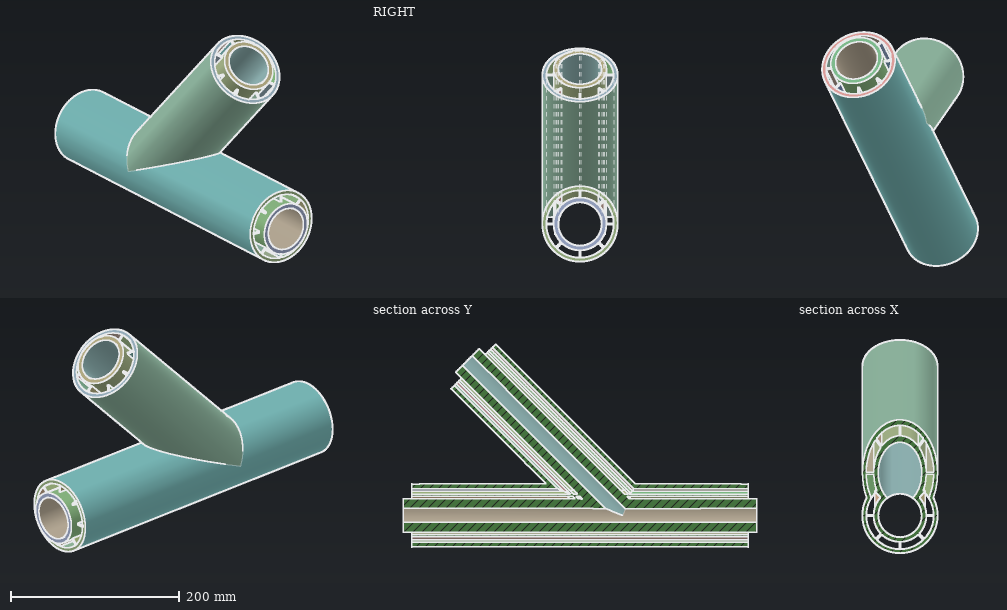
import cadquery as cq

RUN_LENGTH = 420.0
PIPE_DIAMETER = 63.0
BORE_DIAMETER = 51.2
SLEEVE_DIAMETER = 90.0
SLEEVE_BORE_DIAMETER = 80.0
PIPE_PROTRUSION = 10.0
BRANCH_X = -50.5
BRANCH_ANGLE = 45.0
BRANCH_SLEEVE_LENGTH = 250.5
BRANCH_RIB_START = 12.0
RIB_COUNT = 8
RIB_THICKNESS = 2.0
RIB_OVERLAP = 1.5

SLEEVE_LENGTH = RUN_LENGTH - 2 * PIPE_PROTRUSION
BRANCH_PIPE_LENGTH = BRANCH_SLEEVE_LENGTH + PIPE_PROTRUSION


def run_cylinder(diameter, length):
    """Cylinder along X, centred on the origin."""
    return cq.Workplane("YZ").circle(diameter / 2).extrude(length / 2, both=True)


def tilt_to_branch(shape):
    """Move a shape built along X from the origin onto the branch axis."""
    return shape.rotate((0, 0, 0), (0, 1, 0), -BRANCH_ANGLE).translate((BRANCH_X, 0, 0))


def branch_cylinder(diameter, length):
    """Cylinder along the branch, starting where the axes meet."""
    return tilt_to_branch(cq.Workplane("YZ").circle(diameter / 2).extrude(length))


def ribs(start, end):
    """Radial ribs along X that bridge the gap between pipe and sleeve."""
    inner_radius = PIPE_DIAMETER / 2 - RIB_OVERLAP
    outer_radius = SLEEVE_BORE_DIAMETER / 2 + RIB_OVERLAP
    return (
        cq.Workplane("YZ", origin=(start, 0, 0))
        .polarArray((inner_radius + outer_radius) / 2, 0, 360, RIB_COUNT)
        .rect(outer_radius - inner_radius, RIB_THICKNESS)
        .extrude(end - start)
    )


sleeve = run_cylinder(SLEEVE_DIAMETER, SLEEVE_LENGTH)
sleeve = sleeve.union(branch_cylinder(SLEEVE_DIAMETER, BRANCH_SLEEVE_LENGTH))
sleeve = sleeve.cut(run_cylinder(SLEEVE_BORE_DIAMETER, SLEEVE_LENGTH))
sleeve = sleeve.cut(branch_cylinder(SLEEVE_BORE_DIAMETER, BRANCH_SLEEVE_LENGTH))

pipe = run_cylinder(PIPE_DIAMETER, RUN_LENGTH)
pipe = pipe.union(branch_cylinder(PIPE_DIAMETER, BRANCH_PIPE_LENGTH))

run_ribs = ribs(-SLEEVE_LENGTH / 2, SLEEVE_LENGTH / 2)
branch_ribs = tilt_to_branch(ribs(BRANCH_RIB_START, BRANCH_SLEEVE_LENGTH))

result = sleeve.union(pipe).union(run_ribs).union(branch_ribs)
result = result.cut(run_cylinder(BORE_DIAMETER, RUN_LENGTH))
result = result.cut(branch_cylinder(BORE_DIAMETER, BRANCH_PIPE_LENGTH))